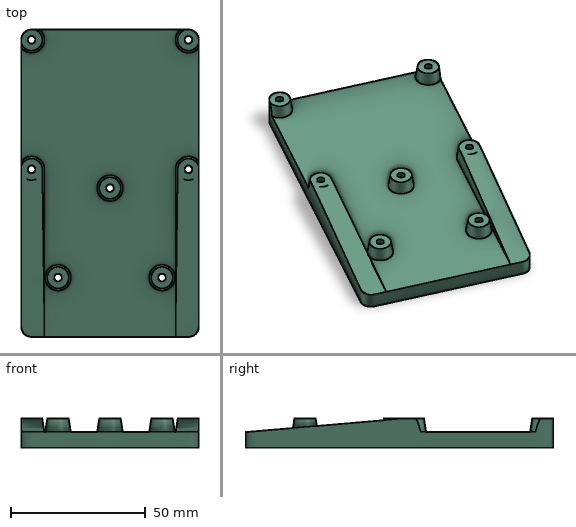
import cadquery as cq

width = 66.1
length = 114.3
plate_thickness = 6.0
total_height = 11.0
corner_radius = 4.0

post_height = total_height - plate_thickness
post_top_radius = 4.0
post_base_radius = 4.8
hole_diameter = 2.7

edge_inset = 3.9
edge_x = width / 2 - edge_inset
back_y = length / 2 - edge_inset
middle_y = 5.1
center_post_y = -1.8
front_post_x = 19.3
front_post_y = -35.1

ramp_start_y = middle_y - 3.7
front_y = -length / 2

corner_posts = [(-edge_x, back_y), (edge_x, back_y)]
rail_posts = [(-edge_x, middle_y), (edge_x, middle_y)]
inner_posts = [(0, center_post_y), (-front_post_x, front_post_y), (front_post_x, front_post_y)]


def make_block(height):
    """Rounded rectangle with the plate outline, standing on Z = 0."""
    block = cq.Workplane("XY").rect(width, length).extrude(height)
    return block.edges("|Z").fillet(corner_radius)


def make_post(x, y):
    """Conical post standing on the plate."""
    cone = cq.Solid.makeCone(
        post_base_radius, post_top_radius, post_height, cq.Vector(x, y, plate_thickness)
    )
    return cq.Workplane(obj=cone)


def make_rail(x):
    """Tapered rail running forward from a middle post and sloping down to the plate."""
    section = [
        (x - post_base_radius, plate_thickness),
        (x + post_base_radius, plate_thickness),
        (x + post_top_radius, total_height),
        (x - post_top_radius, total_height),
    ]
    side_profile = [
        (middle_y, plate_thickness),
        (middle_y, total_height),
        (ramp_start_y, total_height),
        (front_y, plate_thickness),
    ]
    bar = cq.Workplane("XZ", origin=(0, middle_y, 0)).polyline(section).close().extrude(middle_y - front_y)
    ramp = cq.Workplane("YZ").polyline(side_profile).close().extrude(width / 2, both=True)
    return bar.intersect(ramp)


body = make_block(plate_thickness)
for post_x, post_y in corner_posts + rail_posts + inner_posts:
    body = body.union(make_post(post_x, post_y))
for rail_x, _ in rail_posts:
    body = body.union(make_rail(rail_x))

body = body.intersect(make_block(total_height))

holes = (
    cq.Workplane("XY")
    .pushPoints(corner_posts + rail_posts + inner_posts)
    .circle(hole_diameter / 2)
    .extrude(total_height)
)
result = body.cut(holes)